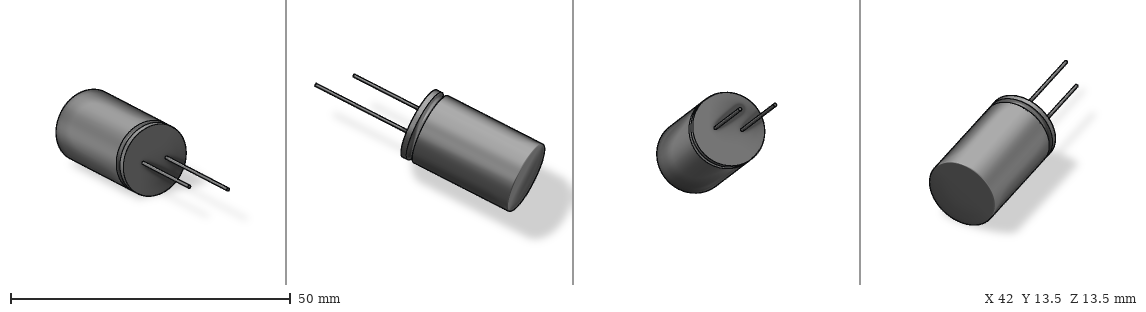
import cadquery as cq

can_diameter = 13.5
can_length = 22.01
closed_end_fillet = 0.2

groove_radius = 0.6
groove_to_open_end = 1.7

lead_diameter = 0.6
lead_pitch = 5.0
long_lead_length = 20.0
short_lead_length = 15.0

can_radius = can_diameter / 2
groove_center_x = can_length - groove_to_open_end


def make_can():
    """Solid can with a rounded closed end and a semicircular crimp groove."""
    body = cq.Workplane("YZ").circle(can_radius).extrude(can_length)
    body = body.faces("<X").edges().fillet(closed_end_fillet)
    groove = (
        cq.Workplane("XY")
        .center(groove_center_x, can_radius)
        .circle(groove_radius)
        .revolve(360, (0, -can_radius, 0), (1, -can_radius, 0))
    )
    return body.cut(groove)


def make_lead(y, length):
    """Round wire starting on the flat open end of the can."""
    return (
        cq.Workplane("YZ", origin=(can_length, y, 0))
        .circle(lead_diameter / 2)
        .extrude(length)
    )


can = make_can()

leads = []
for side, length in ((1, long_lead_length), (-1, short_lead_length)):
    leads.append(make_lead(side * lead_pitch / 2, length))

result = cq.Compound.makeCompound([can.val(), *[lead.val() for lead in leads]])